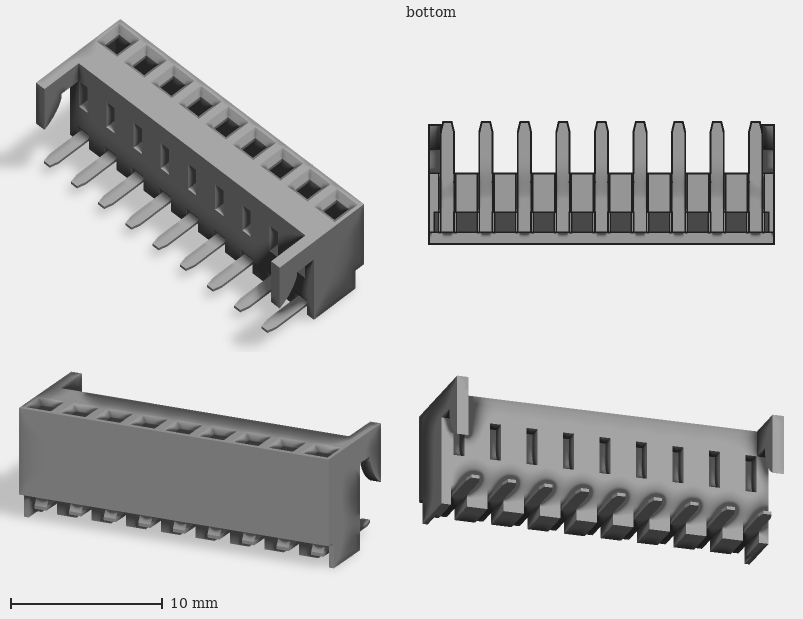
import cadquery as cq

length = 22.75
body_depth = 4.67
height = 7.87
rear_step_depth = 0.77
rear_step_height = 1.8

arm_thickness = 0.8
arm_reach = 3.19
arm_underside = 6.1
hook_inner_y = -1.6
hook_arc_top = 5.7
hook_tip_z = 3.75
hook_arc_middle = (-2.18, 4.57)

contact_count = 9
first_to_last = 20.32
pitch = first_to_last / (contact_count - 1)
contact_centers = [(length - first_to_last) / 2 + i * pitch for i in range(contact_count)]

throat_width = 1.14
cavity_depth = 1.32
cavity_rear = body_depth - rear_step_depth
cavity_front = cavity_rear - cavity_depth
mouth_width = 1.93
mouth_length = 2.15
mouth_rear_wall = 0.35
mouth_depth = 0.4
throat_length = 0.27
chamber_top = height - mouth_depth - throat_length
end_wall = 0.35

pin_width = 0.89
pin_thickness = 0.23
pin_top = 0.9
pin_reach = 3.4
pin_taper_length = 0.68
pin_tip_width = 0.57
leaf_rise = 2.4

lip_radius = 0.6
notch_width = 1.12

slot_width = 0.77
slot_bottom = 3.55
slot_top = 6.1
slot_depth = 1.02
barb_width = 0.52
barb_top = 5.28
barb_edge_z = 3.82
barb_reach = 0.45
barb_bottom_reach = 0.23


def side_profile(points, x_min, width):
    """Extrude a closed (Y, Z) outline along +X."""
    return cq.Workplane("YZ", origin=(x_min, 0, 0)).polyline(points).close().extrude(width)


def make_box(x_center, width, y_min, depth, z_min, z_max):
    box = cq.Workplane("XY").box(width, depth, z_max - z_min, centered=(True, False, False))
    return box.translate((x_center, y_min, z_min))


def make_body():
    outline = [
        (0, 0),
        (cavity_rear, 0),
        (cavity_rear, rear_step_height),
        (body_depth, rear_step_height),
        (body_depth, height),
        (0, height),
    ]
    return side_profile(outline, 0, length)


def make_arm(x_min):
    return (
        cq.Workplane("YZ", origin=(x_min, 0, 0))
        .moveTo(0, height)
        .lineTo(-arm_reach, height)
        .lineTo(-arm_reach, hook_tip_z)
        .threePointArc(hook_arc_middle, (hook_inner_y, hook_arc_top))
        .lineTo(hook_inner_y, arm_underside)
        .lineTo(0, arm_underside)
        .close()
        .extrude(arm_thickness)
    )


def make_chamber():
    chamber_length = length - 2 * end_wall
    return make_box(length / 2, chamber_length, cavity_front, cavity_depth, 0, chamber_top)


def make_mouth(x):
    throat = make_box(x, throat_width, cavity_front, cavity_depth, chamber_top, height)
    mouth_center_y = body_depth - mouth_rear_wall - mouth_length / 2
    throat_center_y = (cavity_front + cavity_rear) / 2
    taper = (
        cq.Workplane("XY", origin=(x, mouth_center_y, height))
        .rect(mouth_width, mouth_length)
        .workplane(offset=-mouth_depth)
        .center(0, throat_center_y - mouth_center_y)
        .rect(throat_width, cavity_depth)
        .loft(ruled=True)
    )
    return throat.union(taper)


def make_notch(x):
    """Opening below the front wall, with a quarter-round lip at its front edge."""
    bend = lip_radius * 0.5**0.5
    return (
        cq.Workplane("YZ", origin=(x - notch_width / 2, 0, 0))
        .lineTo(0, pin_top + lip_radius)
        .threePointArc(
            (lip_radius - bend, pin_top + lip_radius - bend),
            (lip_radius, pin_top),
        )
        .lineTo(cavity_front, pin_top)
        .lineTo(cavity_front, 0)
        .close()
        .extrude(notch_width)
    )


def make_slot(x):
    return make_box(x, slot_width, 0, slot_depth, slot_bottom, slot_top)


def make_barb(x):
    outline = [
        (slot_depth, slot_bottom),
        (slot_depth, barb_top),
        (slot_depth - barb_reach, barb_edge_z),
        (slot_depth - barb_bottom_reach, slot_bottom),
    ]
    return side_profile(outline, x - barb_width / 2, barb_width)


def make_contact(x):
    pin_bottom = pin_top - pin_thickness
    taper_start = pin_taper_length - pin_reach
    pin = (
        cq.Workplane("XY", origin=(x, 0, pin_bottom))
        .polyline([
            (-pin_width / 2, cavity_rear),
            (-pin_width / 2, taper_start),
            (-pin_tip_width / 2, -pin_reach),
            (pin_tip_width / 2, -pin_reach),
            (pin_width / 2, taper_start),
            (pin_width / 2, cavity_rear),
        ])
        .close()
        .extrude(pin_thickness)
    )
    leaf_outline = [
        (cavity_rear, pin_bottom),
        (cavity_rear, pin_top),
        (cavity_front, pin_top + leaf_rise),
        (cavity_front, pin_bottom + leaf_rise),
    ]
    return pin.union(side_profile(leaf_outline, x - pin_width / 2, pin_width))


result = make_body().cut(make_chamber())
for arm_x in (0, length - arm_thickness):
    result = result.union(make_arm(arm_x))
for center in contact_centers:
    result = result.cut(make_mouth(center)).cut(make_notch(center)).cut(make_slot(center))
    result = result.union(make_contact(center)).union(make_barb(center))